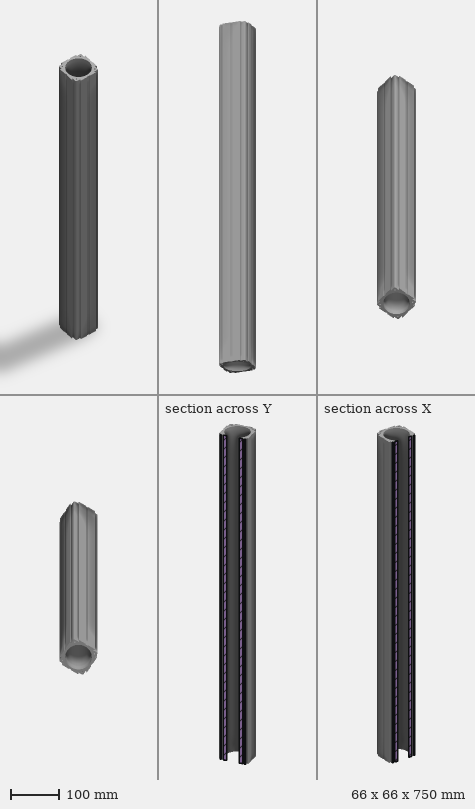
import cadquery as cq

length = 750.0
width = 66.0

corner_width = 58.5
corner_chamfer = 1.5
wall_thickness = 5.5
bore_diameter = width - 2 * wall_thickness

pad_width = 40.0
pad_lip = 1.0
pad_undercut = 2.6
groove_width = 6.0
groove_depth = 1.1

corner_hole_diameter = 3.0
corner_hole_spacing = 48.0

half_width = width / 2
half_corner = corner_width / 2
half_pad = pad_width / 2
half_pad_root = half_pad - pad_undercut
half_groove = groove_width / 2


def make_side_pad():
    """Undercut pad on the +Y side with its middle groove, reaching in to the centre."""
    lip_base = half_width - pad_lip
    groove_floor = half_width - groove_depth
    right_half = [
        (half_groove, groove_floor),
        (half_groove, half_width),
        (half_pad, half_width),
        (half_pad, lip_base),
        (half_pad_root, half_corner),
        (half_pad_root, 0),
    ]
    left_half = [(-x, y) for x, y in reversed(right_half)]
    return cq.Workplane("XY").polyline(left_half + right_half).close().extrude(length)


profile = (
    cq.Workplane("XY")
    .rect(corner_width, corner_width)
    .extrude(length)
    .edges("|Z")
    .chamfer(corner_chamfer)
)
side_pad = make_side_pad()
for side in range(4):
    profile = profile.union(side_pad.rotate((0, 0, 0), (0, 0, 1), 90 * side))

bore = cq.Workplane("XY").circle(bore_diameter / 2).extrude(length)
corner_holes = (
    cq.Workplane("XY")
    .rect(corner_hole_spacing, corner_hole_spacing, forConstruction=True)
    .vertices()
    .circle(corner_hole_diameter / 2)
    .extrude(length)
)
result = profile.cut(bore).cut(corner_holes)